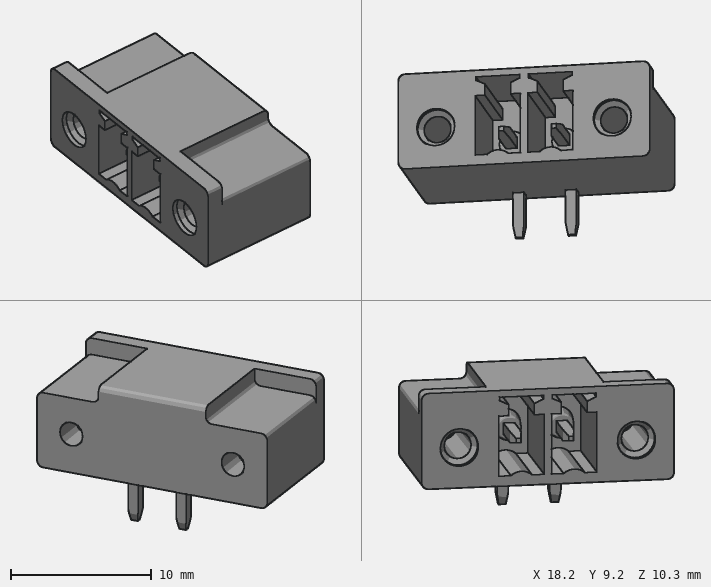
import cadquery as cq
import math


length = 18.21
depth = 9.2
height = 7.01
edge_radius = 0.5

flange_thickness = 1.3
block_half_width = 4.25
wing_drop = 1.25

contact_count = 2
contact_pitch = 3.8
contact_height = 2.97
contact_width = 0.8

cavity_depth = 6.55
cavity_bottom = 0.75
cavity_half_width = 1.64
shoulder_height = 5.14
neck_half_width = 0.93
neck_top = 5.95
keyway_half_width = 1.58
keyway_flare_top = 6.26
cavity_top = 6.52
bump_half_width = 0.76
bump_height = 0.3

boss_base_radius = 1.1
boss_top_radius = 0.9
boss_height = 1.45
boss_round = 0.2

screw_offset = 6.4
screw_mouth_radius = 1.37
screw_mouth_depth = 0.36
screw_cone_depth = 0.31
screw_radius = 0.97
screw_rear_radius = 0.9

tip_start = 1.31
tip_taper_length = 1.1
tip_width = 0.33

tail_from_back = 1.22
tail_length = 3.25
tail_side_taper = 0.85
tail_round_taper = 1.15
tail_end_x = 0.51
tail_end_y = 0.36

half_contact = contact_width / 2
tail_y = depth - tail_from_back
contact_top = contact_height + half_contact
contact_xs = [(i - (contact_count - 1) / 2) * contact_pitch for i in range(contact_count)]


def y_extrusion(sketch, start, end):
    """Extrude a sketch drawn on the XZ plane from Y = start to Y = end."""
    return sketch.extrude(-(end - start)).translate((0, start, 0))


def make_flange():
    plate = cq.Workplane("XY").box(length, flange_thickness, height, centered=(True, False, False))
    return plate.edges("|Y").fillet(edge_radius)


def make_rear_body():
    wing_top = height - wing_drop
    step_foot = block_half_width + edge_radius
    arc_offset = edge_radius * (1 - math.sqrt(0.5))
    outline = (
        cq.Workplane("XZ")
        .moveTo(-length / 2, 0)
        .lineTo(length / 2, 0)
        .lineTo(length / 2, wing_top)
        .lineTo(step_foot, wing_top)
        .threePointArc(
            (block_half_width + arc_offset, wing_top + arc_offset),
            (block_half_width, wing_top + edge_radius),
        )
        .lineTo(block_half_width, height)
        .lineTo(-block_half_width, height)
        .lineTo(-block_half_width, wing_top + edge_radius)
        .threePointArc(
            (-block_half_width - arc_offset, wing_top + arc_offset),
            (-step_foot, wing_top),
        )
        .lineTo(-length / 2, wing_top)
        .close()
    )
    body = y_extrusion(outline, flange_thickness, depth)
    body = body.edges("|Y and (<X or >X)").fillet(edge_radius)
    return body.faces(">Z").edges(">Y").fillet(edge_radius)


def make_cavity(x):
    outline = (
        cq.Workplane("XZ")
        .moveTo(-cavity_half_width, cavity_bottom)
        .lineTo(-bump_half_width, cavity_bottom)
        .threePointArc((0, cavity_bottom + bump_height), (bump_half_width, cavity_bottom))
        .lineTo(cavity_half_width, cavity_bottom)
        .lineTo(cavity_half_width, shoulder_height)
        .lineTo(neck_half_width, shoulder_height)
        .lineTo(neck_half_width, neck_top)
        .lineTo(keyway_half_width, keyway_flare_top)
        .lineTo(keyway_half_width, cavity_top)
        .lineTo(-keyway_half_width, cavity_top)
        .lineTo(-keyway_half_width, keyway_flare_top)
        .lineTo(-neck_half_width, neck_top)
        .lineTo(-neck_half_width, shoulder_height)
        .lineTo(-cavity_half_width, shoulder_height)
        .close()
    )
    return y_extrusion(outline, 0, cavity_depth).translate((x, 0, 0))


def make_boss(x):
    profile = (
        cq.Workplane("XY")
        .moveTo(0, cavity_depth)
        .lineTo(boss_base_radius, cavity_depth)
        .lineTo(boss_top_radius, cavity_depth - boss_height)
        .lineTo(0, cavity_depth - boss_height)
        .close()
    )
    boss = profile.revolve(360, (0, 0, 0), (0, 1, 0)).faces("<Y").edges().fillet(boss_round)
    return boss.translate((x, 0, contact_height))


def make_screw_hole(x):
    cone_end = screw_mouth_depth + screw_cone_depth
    profile = (
        cq.Workplane("XY")
        .moveTo(0, 0)
        .lineTo(screw_mouth_radius, 0)
        .lineTo(screw_mouth_radius, screw_mouth_depth)
        .lineTo(screw_radius, cone_end)
        .lineTo(screw_radius, cavity_depth)
        .lineTo(screw_rear_radius, cavity_depth)
        .lineTo(screw_rear_radius, depth)
        .lineTo(0, depth)
        .close()
    )
    return profile.revolve(360, (0, 0, 0), (0, 1, 0)).translate((x, 0, contact_height))


def make_pin(x):
    """Square wire bent at a right angle, with a tapered contact tip and a tapered solder tail."""
    taper_end = tip_start + tip_taper_length
    tip = (
        cq.Workplane("XZ", origin=(0, tip_start, contact_height))
        .rect(tip_width, tip_width)
        .workplane(offset=-tip_taper_length)
        .rect(contact_width, contact_width)
        .loft()
    )
    shank = cq.Workplane("XY", origin=(0, taper_end, contact_height)).box(
        contact_width, tail_y + half_contact - taper_end, contact_width, centered=(True, False, True)
    )
    return tip.union(shank).union(make_tail()).translate((x, 0, 0))


def make_tail():
    """Vertical leg: the overlap of its outline along Y and its outline along X."""
    side_taper_start = tail_side_taper - tail_length
    across = (
        cq.Workplane("XZ")
        .moveTo(-half_contact, contact_top)
        .lineTo(-half_contact, side_taper_start)
        .lineTo(-tail_end_x / 2, -tail_length)
        .lineTo(tail_end_x / 2, -tail_length)
        .lineTo(half_contact, side_taper_start)
        .lineTo(half_contact, contact_top)
        .close()
    )
    round_taper_start = tail_round_taper - tail_length
    inset = half_contact - tail_end_y / 2
    arc_radius = (tail_round_taper**2 + inset**2) / (2 * inset)
    mid_angle = math.asin(tail_round_taper / arc_radius) / 2
    mid_y = half_contact - arc_radius * (1 - math.cos(mid_angle))
    mid_z = round_taper_start - arc_radius * math.sin(mid_angle)
    along = (
        cq.Workplane("YZ", origin=(-half_contact, tail_y, 0))
        .moveTo(half_contact, contact_top)
        .lineTo(-half_contact, contact_top)
        .lineTo(-half_contact, round_taper_start)
        .threePointArc((-mid_y, mid_z), (-tail_end_y / 2, -tail_length))
        .lineTo(tail_end_y / 2, -tail_length)
        .threePointArc((mid_y, mid_z), (half_contact, round_taper_start))
        .close()
        .extrude(contact_width)
    )
    return y_extrusion(across, tail_y - half_contact, tail_y + half_contact).intersect(along)


def make_housing(pins):
    housing = make_flange().union(make_rear_body())
    for x in contact_xs:
        housing = housing.cut(make_cavity(x)).union(make_boss(x))
    for x in (-screw_offset, screw_offset):
        housing = housing.cut(make_screw_hole(x))
    for pin in pins:
        housing = housing.cut(pin)
    return housing


pins = [make_pin(x) for x in contact_xs]
housing = make_housing(pins)

result = cq.Compound.makeCompound([housing.val(), *[pin.val() for pin in pins]])